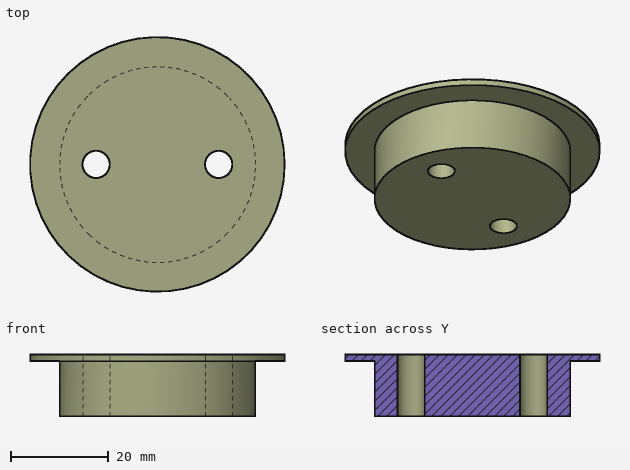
import cadquery as cq

flange_diameter = 52.0
flange_thickness = 1.4

plug_diameter = 39.95
total_height = 12.7
plug_height = total_height - flange_thickness

hole_diameter = 5.5
hole_spacing = 25.0

plug = cq.Workplane("XY").circle(plug_diameter / 2).extrude(plug_height)

flange = (
    cq.Workplane("XY")
    .workplane(offset=plug_height)
    .circle(flange_diameter / 2)
    .extrude(flange_thickness)
)

holes = (
    cq.Workplane("XY")
    .pushPoints([(-hole_spacing / 2, 0), (hole_spacing / 2, 0)])
    .circle(hole_diameter / 2)
    .extrude(total_height)
)

result = plug.union(flange).cut(holes)